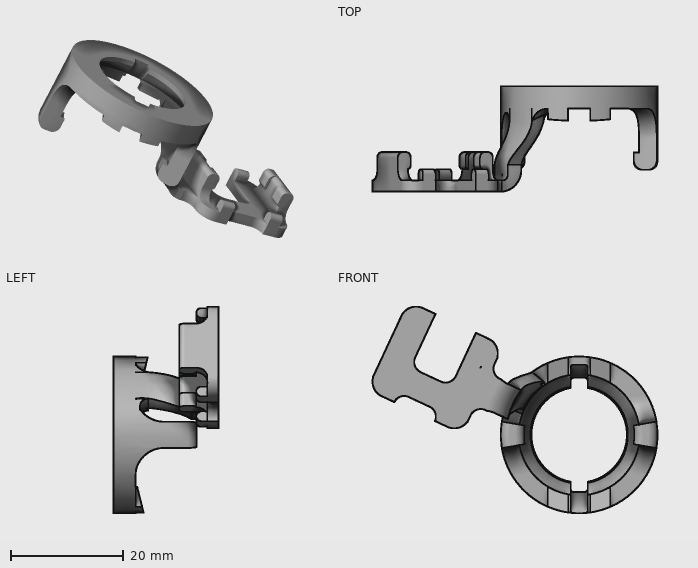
import cadquery as cq
import math


RING_R = 14.0
RING_DEPTH = 4.0
WALL_INNER_R = 10.8
BORE_R = 8.5
BORE_LENGTH = 1.0
CONE_START_R = 8.72
CONE_END_R = 10.45
CONE_END_DEPTH = 3.0
RIM_DEPTH = 3.3
SEAM_ANGLE = 45.0

TOOTH_INNER_X = 1.97
TOOTH_OUTER_X = 5.57
TOP_TOOTH_DEPTH = 6.2
BOTTOM_TOOTH_DEPTH = 5.45
TOOTH_SLOPE = math.tan(math.radians(14.0))

SLOT_HALF_WIDTH = 1.5
SLOT_CORNER_R = 0.45
SLOT_BACK_R = 10.15
TOP_SLOT_FRONT_R = 12.5
BOTTOM_SLOT_FRONT_R = RING_R

LEG_HALF_ANGLE = 9.7
LEG_END_DEPTH = 14.91
HOOK_INNER_R = 9.85
HOOK_DEPTH = 11.8
LEG_TIP_R = 1.55
LEG_FLARE_R = 5.0

TILT = 25.0
PLATE_FRONT = 18.8
PLATE_BACK = 16.8
FORK_LEFT = -37.7
FORK_RIGHT = -19.0
FORK_MIDDLE = (FORK_LEFT + FORK_RIGHT) / 2
FORK_TOP = 8.72
FORK_BOTTOM = -8.65
LOBE_R = 2.9
GAP_HALF_WIDTH = 3.97
GAP_FLOOR = -1.8
GAP_CORNER_R = 2.0
NOTCH_TOP = -6.75
NOTCH_CORNER_R = NOTCH_TOP - FORK_BOTTOM
NECK_HALF_WIDTH = 3.08
NECK_FILLET_R = 2.0

BEAD_DEPTH = 14.8
BEAD_THICKNESS = 1.9
BEAD_ROUND_R = 0.9
WALL_DEPTH = 11.72
WALL_THICKNESS = 2.0
WALL_HEAD_THICKNESS = 2.54
WALL_HEAD_R = 0.98
WALL_HEAD_LOWER_R = 0.7
WALL_HALF_LENGTH = 4.35
HEAD_BREAK_HALF_LENGTH = 1.75
FOOT_R = PLATE_BACK - BEAD_DEPTH

BEND_START_R = 16.95
BEND_INNER_R = 13.0
BEND_OUTER_R = 15.6
BEND_FRONT_R = BEND_START_R - BEND_INNER_R
BEND_BACK_R = 1.1
BEND_END_DEPTH = 14.0
BEND_HALF_WIDTH = 2.85
ARM_HALF_WIDTH = NECK_HALF_WIDTH
ARM_RING_ANGLE = 40.2
ARM_STATIONS = [
    (BEND_END_DEPTH, TILT, BEND_INNER_R, BEND_OUTER_R, BEND_HALF_WIDTH),
    (12.0, 29.8, 12.9, 15.3, 2.95),
    (10.0, 34.6, 12.3, 14.6, ARM_HALF_WIDTH),
    (6.5, ARM_RING_ANGLE, 11.4, RING_R, ARM_HALF_WIDTH),
    (RING_DEPTH, ARM_RING_ANGLE, 10.9, RING_R, ARM_HALF_WIDTH),
]

UPPER_WEB_LENGTH = 3.3
UPPER_WEB_DEPTH = 6.4
UPPER_WEB_MIDDLE = (1.32, -4.6)
LOWER_WEB_R = 1.5
LOWER_WEB_DEPTH = 4.75
LOWER_WEB_OVERRUN = math.radians(37.0)
OVERLAP = 0.5
WEB_BASE = RING_DEPTH - OVERLAP


def face_plane(depth):
    """Plane facing the front (-Y), with X right and Z up."""
    return cq.Workplane("XZ", origin=(0, -depth, 0))


def turned(body):
    """Revolve a profile drawn as (radius, -depth) about the ring axis."""
    return body.revolve(360, (0, 0, 0), (0, 1, 0))


def about_ring(body, angle):
    """Turn a body about the ring axis, from -X toward +Z for a positive angle."""
    return body.rotate((0, 0, 0), (0, 1, 0), angle)


def make_envelope():
    """Revolved space that holds the ring, its teeth and its legs with their hooks."""
    leg_round_depth = LEG_END_DEPTH - LEG_TIP_R
    profile = (
        cq.Workplane("XY")
        .moveTo(BORE_R, 0)
        .lineTo(RING_R, 0)
        .lineTo(RING_R, -leg_round_depth)
        .radiusArc((RING_R - LEG_TIP_R, -LEG_END_DEPTH), LEG_TIP_R)
        .lineTo(HOOK_INNER_R + LEG_TIP_R, -LEG_END_DEPTH)
        .radiusArc((HOOK_INNER_R, -leg_round_depth), LEG_TIP_R)
        .lineTo(HOOK_INNER_R, -HOOK_DEPTH)
        .lineTo(WALL_INNER_R, -HOOK_DEPTH)
        .lineTo(WALL_INNER_R, -RIM_DEPTH)
        .lineTo(CONE_END_R, -CONE_END_DEPTH)
        .lineTo(CONE_START_R, -BORE_LENGTH)
        .close()
    )
    return about_ring(turned(profile), SEAM_ANGLE)


def make_tooth_pair(side, rim_depth):
    """Two teeth at the top (side 1) or bottom (side -1), sloping back toward the bore."""
    axis_depth = rim_depth - TOOTH_SLOPE * RING_R
    slab = (
        cq.Workplane("YZ")
        .polyline([(0, 0), (-axis_depth, 0), (-rim_depth, side * RING_R), (0, side * RING_R)])
        .close()
        .extrude(TOOTH_OUTER_X - TOOTH_INNER_X)
    )
    right_tooth = slab.translate((TOOTH_INNER_X, 0, 0))
    return right_tooth.union(right_tooth.mirror("YZ"))


def make_key_slot(side, front_r):
    """Slot cutter whose rounded floor slopes outward from the ring back to the ring front."""
    slope = (front_r - SLOT_BACK_R) / RING_DEPTH

    def section(depth):
        floor = SLOT_BACK_R + slope * depth
        outline = (
            cq.Sketch()
            .push([(0, side * floor / 2)])
            .rect(2 * SLOT_HALF_WIDTH, floor)
            .reset()
            .vertices()
            .fillet(SLOT_CORNER_R)
        )
        return outline.moved(cq.Location(cq.Vector(0, 0, depth)))

    return (
        face_plane(0)
        .placeSketch(section(-OVERLAP), section(TOP_TOOTH_DEPTH + OVERLAP))
        .loft()
    )


def make_leg_wedge():
    """Wedge of constant angle that both legs lie in, along -X and +X."""
    half_width = 2 * RING_R * math.tan(math.radians(LEG_HALF_ANGLE))
    wedge = (
        face_plane(0)
        .polyline([(0, 0), (-2 * RING_R, -half_width), (-2 * RING_R, half_width)])
        .close()
        .extrude(PLATE_FRONT)
    )
    return wedge.union(wedge.mirror("YZ"))


def make_web(outline, angle):
    """Extrude an outline along the radius at `angle`; the outline lies on the +Z side of that radius."""
    return about_ring(outline.extrude(2 * RING_R), angle)


def web_sketch():
    """Sketch across a -X radius: x is the distance toward +Z and y is the negative depth."""
    plane = cq.Plane(origin=(0, 0, 0), xDir=(0, 0, 1), normal=(-1, 0, 0))
    return cq.Workplane(plane)


def make_leg_flare():
    """Concave flare between the ring front and the upper side of the -X leg."""
    outline = (
        web_sketch()
        .moveTo(-OVERLAP, -WEB_BASE)
        .lineTo(-OVERLAP, -RING_DEPTH - LEG_FLARE_R)
        .lineTo(0, -RING_DEPTH - LEG_FLARE_R)
        .radiusArc((LEG_FLARE_R, -RING_DEPTH), LEG_FLARE_R)
        .lineTo(LEG_FLARE_R, -WEB_BASE)
        .close()
    )
    return make_web(outline, LEG_HALF_ANGLE)


def make_lower_arm_web():
    """Round between the underside of the arm and the leg flare, meeting the flare about tangentially."""
    round_depth = LOWER_WEB_DEPTH + LOWER_WEB_R
    end_x = ARM_HALF_WIDTH + LOWER_WEB_R * (1 + math.sin(LOWER_WEB_OVERRUN))
    end_depth = round_depth - LOWER_WEB_R * math.cos(LOWER_WEB_OVERRUN)
    outline = (
        web_sketch()
        .moveTo(ARM_HALF_WIDTH, -WEB_BASE)
        .lineTo(ARM_HALF_WIDTH, -round_depth)
        .threePointArc((ARM_HALF_WIDTH + LOWER_WEB_R, -LOWER_WEB_DEPTH), (end_x, -end_depth))
        .lineTo(end_x, -WEB_BASE)
        .close()
    )
    return about_ring(outline.extrude(2 * RING_R).mirror("XY"), ARM_RING_ANGLE)


def make_upper_arm_web():
    """Concave web from the upper side of the arm to the nearest tooth."""
    half_angle = math.degrees(math.asin(ARM_HALF_WIDTH / RING_R))
    outline = (
        web_sketch()
        .moveTo(0, -WEB_BASE)
        .lineTo(0, -UPPER_WEB_DEPTH)
        .threePointArc(UPPER_WEB_MIDDLE, (UPPER_WEB_LENGTH, -RING_DEPTH))
        .lineTo(UPPER_WEB_LENGTH, -WEB_BASE)
        .close()
    )
    return make_web(outline, ARM_RING_ANGLE + half_angle)


def make_ring_with_legs():
    body = face_plane(0).rect(4 * RING_R, 4 * RING_R).extrude(RING_DEPTH)
    body = body.union(make_leg_wedge())
    body = body.union(make_tooth_pair(1, TOP_TOOTH_DEPTH))
    body = body.union(make_tooth_pair(-1, BOTTOM_TOOTH_DEPTH))
    flare = make_leg_flare()
    flare_pair = flare.union(flare.mirror("YZ"))
    body = body.union(flare_pair).union(flare_pair.mirror("XY"))
    body = body.union(make_lower_arm_web()).union(make_upper_arm_web())
    body = make_envelope().intersect(body)
    body = body.cut(make_key_slot(1, TOP_SLOT_FRONT_R))
    return body.cut(make_key_slot(-1, BOTTOM_SLOT_FRONT_R))


def make_fork_plate():
    """Fork with a neck toward the ring, still untilted."""
    neck_end = OVERLAP - BEND_START_R
    thickness = PLATE_FRONT - PLATE_BACK
    plate = (
        face_plane(PLATE_BACK)
        .center(FORK_MIDDLE, (FORK_TOP + FORK_BOTTOM) / 2)
        .rect(FORK_RIGHT - FORK_LEFT, FORK_TOP - FORK_BOTTOM)
        .extrude(thickness)
        .edges("|Y")
        .fillet(LOBE_R)
    )
    gap = (
        face_plane(PLATE_BACK)
        .center(FORK_MIDDLE, GAP_FLOOR + FORK_TOP)
        .rect(2 * GAP_HALF_WIDTH, 2 * FORK_TOP)
        .extrude(thickness)
        .edges("|Y")
        .fillet(GAP_CORNER_R)
    )
    notch = (
        face_plane(PLATE_BACK)
        .moveTo(FORK_MIDDLE - GAP_HALF_WIDTH, FORK_BOTTOM)
        .radiusArc((FORK_MIDDLE - GAP_HALF_WIDTH + NOTCH_CORNER_R, NOTCH_TOP), NOTCH_CORNER_R)
        .lineTo(FORK_MIDDLE + GAP_HALF_WIDTH - NOTCH_CORNER_R, NOTCH_TOP)
        .radiusArc((FORK_MIDDLE + GAP_HALF_WIDTH, FORK_BOTTOM), NOTCH_CORNER_R)
        .close()
        .extrude(thickness)
    )
    root = NECK_HALF_WIDTH + NECK_FILLET_R
    neck = (
        face_plane(PLATE_BACK)
        .moveTo(FORK_RIGHT - OVERLAP, -root)
        .lineTo(FORK_RIGHT, -root)
        .radiusArc((FORK_RIGHT + NECK_FILLET_R, -NECK_HALF_WIDTH), NECK_FILLET_R)
        .lineTo(neck_end, -NECK_HALF_WIDTH)
        .lineTo(neck_end, NECK_HALF_WIDTH)
        .lineTo(FORK_RIGHT + NECK_FILLET_R, NECK_HALF_WIDTH)
        .radiusArc((FORK_RIGHT, root), NECK_FILLET_R)
        .lineTo(FORK_RIGHT - OVERLAP, root)
        .close()
        .extrude(thickness)
        .cut(face_plane(PLATE_BACK).circle(BEND_START_R).extrude(thickness))
    )
    return plate.cut(gap).cut(notch).union(neck)


def make_bead(left, right, side):
    """Low bead behind a straight stretch of the fork's top (side 1) or bottom (side -1) edge."""
    outer = FORK_TOP if side > 0 else FORK_BOTTOM
    bead_middle = -(BEAD_DEPTH + PLATE_BACK) / 2
    return (
        cq.Workplane("XY", origin=((left + right) / 2, bead_middle, outer - side * BEAD_THICKNESS / 2))
        .rect(right - left, FOOT_R)
        .extrude(BEAD_THICKNESS / 2, both=True)
        .edges("|X and >Y")
        .fillet(BEAD_ROUND_R)
    )


def make_side_wall():
    """Wall behind the left edge of the fork, with a thicker rounded head and flared feet."""
    inner = FORK_LEFT + WALL_THICKNESS
    head_inner = FORK_LEFT + WALL_HEAD_THICKNESS
    stem = (
        face_plane(WALL_DEPTH)
        .center((FORK_LEFT + inner) / 2, 0)
        .rect(WALL_THICKNESS, 2 * WALL_HALF_LENGTH)
        .extrude(PLATE_FRONT - WALL_DEPTH)
        .edges("|Z and >Y")
        .fillet(WALL_HEAD_R)
    )
    head = (
        face_plane(WALL_DEPTH)
        .center((FORK_LEFT + head_inner) / 2, 0)
        .rect(WALL_HEAD_THICKNESS, 2 * WALL_HALF_LENGTH)
        .extrude(BEAD_DEPTH - WALL_DEPTH)
        .edges("|Z and >Y")
        .fillet(WALL_HEAD_R)
        .edges("|Z and <Y and >X")
        .fillet(WALL_HEAD_LOWER_R)
    )
    head_break = (
        face_plane(WALL_DEPTH)
        .center((FORK_LEFT + head_inner) / 2, 0)
        .rect(WALL_HEAD_THICKNESS, 2 * HEAD_BREAK_HALF_LENGTH)
        .extrude(BEAD_DEPTH - WALL_DEPTH)
    )
    foot_end = WALL_HALF_LENGTH + FOOT_R
    feet = (
        cq.Workplane("YZ", origin=(FORK_LEFT, 0, 0))
        .moveTo(-PLATE_BACK, -foot_end)
        .radiusArc((-BEAD_DEPTH, -WALL_HALF_LENGTH), FOOT_R)
        .lineTo(-BEAD_DEPTH, WALL_HALF_LENGTH)
        .radiusArc((-PLATE_BACK, foot_end), FOOT_R)
        .close()
        .extrude(WALL_THICKNESS)
    )
    return stem.union(head.cut(head_break)).union(feet)


def make_fork():
    plate = make_fork_plate()
    left_gap_edge = FORK_MIDDLE - GAP_HALF_WIDTH
    right_gap_edge = FORK_MIDDLE + GAP_HALF_WIDTH
    for side in (1, -1):
        plate = plate.union(make_bead(FORK_LEFT + LOBE_R, left_gap_edge, side))
        plate = plate.union(make_bead(right_gap_edge, FORK_RIGHT - LOBE_R, side))
    wall = make_side_wall()
    plate = plate.union(wall)
    return plate.union(wall.mirror("YZ").translate((2 * FORK_MIDDLE, 0, 0)))


def make_bend():
    """Quarter bend that turns the neck back toward the ring, still untilted."""
    bend_front_depth = PLATE_FRONT - BEND_FRONT_R
    profile = (
        cq.Workplane("XY")
        .moveTo(BEND_START_R, -PLATE_FRONT)
        .radiusArc((BEND_INNER_R, -bend_front_depth), BEND_FRONT_R)
        .lineTo(BEND_INNER_R, -BEND_END_DEPTH)
        .lineTo(BEND_OUTER_R, -BEND_END_DEPTH)
        .lineTo(BEND_OUTER_R, BEND_BACK_R - PLATE_BACK)
        .radiusArc((BEND_OUTER_R + BEND_BACK_R, -PLATE_BACK), -BEND_BACK_R)
        .lineTo(BEND_START_R, -PLATE_BACK)
        .close()
    )
    band = (
        face_plane(0)
        .moveTo(0, BEND_HALF_WIDTH)
        .lineTo(-BEND_OUTER_R, BEND_HALF_WIDTH)
        .lineTo(-BEND_START_R, NECK_HALF_WIDTH)
        .lineTo(-2 * BEND_START_R, NECK_HALF_WIDTH)
        .lineTo(-2 * BEND_START_R, -NECK_HALF_WIDTH)
        .lineTo(-BEND_START_R, -NECK_HALF_WIDTH)
        .lineTo(-BEND_OUTER_R, -BEND_HALF_WIDTH)
        .lineTo(0, -BEND_HALF_WIDTH)
        .close()
        .extrude(PLATE_FRONT)
    )
    return turned(profile).intersect(band)


def arm_section(depth, angle, inner_r, outer_r, half_width):
    """Wire of one arm station: two parallel sides closed by arcs about the ring axis."""
    inner_x = -math.sqrt(inner_r**2 - half_width**2)
    outer_x = -math.sqrt(outer_r**2 - half_width**2)
    wire = (
        face_plane(depth)
        .moveTo(inner_x, -half_width)
        .threePointArc((-inner_r, 0), (inner_x, half_width))
        .lineTo(outer_x, half_width)
        .threePointArc((-outer_r, 0), (outer_x, -half_width))
        .close()
    )
    return about_ring(wire, angle).val()


def make_arm():
    sections = [arm_section(*station) for station in ARM_STATIONS]
    return cq.Workplane(cq.Solid.makeLoft(sections))


fork = about_ring(make_fork().union(make_bend()), TILT)
result = make_ring_with_legs().union(make_arm()).union(fork)